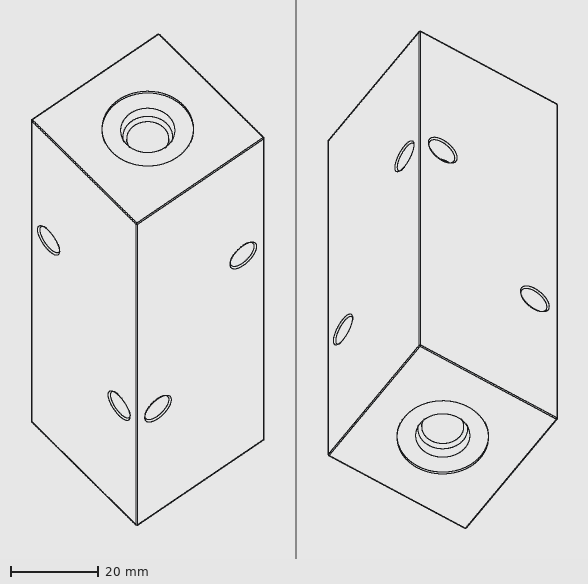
import cadquery as cq
import math

width = 38.1
height = 120.65
edge_chamfer = 0.25

bore_diameter = 9.65
spotface_diameter = 21.0
spotface_depth = 0.7
seal_mouth_diameter = 12.45
seal_cone_depth = 2.5
seal_cone_half_angle = 12.0

cross_hole_diameter = 7.14
cross_hole_chamfer = 0.4
edge_distance = 6.35
cross_hole_offset = width / 2 - edge_distance
cross_hole_height = 19.05


def revolve_about_z(profile):
    """Full revolution of a (radius, z) outline about the Z axis."""
    return cq.Workplane("XZ").polyline(profile).close().revolve(360, (0, 0, 0), (0, 1, 0))


def port_cutter():
    """Port and its half of the bore, as a solid of revolution at the +Z end."""
    top = height / 2
    spotface_floor = top - spotface_depth
    seal_floor = spotface_floor - seal_cone_depth
    mouth_radius = seal_mouth_diameter / 2
    seal_floor_radius = mouth_radius - seal_cone_depth * math.tan(math.radians(seal_cone_half_angle))
    bore_radius = bore_diameter / 2
    bore_start = seal_floor - (seal_floor_radius - bore_radius)
    profile = [
        (0, 0),
        (bore_radius, 0),
        (bore_radius, bore_start),
        (seal_floor_radius, seal_floor),
        (mouth_radius, spotface_floor),
        (spotface_diameter / 2, spotface_floor),
        (spotface_diameter / 2, top),
        (0, top),
    ]
    return revolve_about_z(profile)


def cross_hole_cutter():
    """Through hole along Z over the block width, chamfered at both mouths."""
    half_length = width / 2
    radius = cross_hole_diameter / 2
    mouth_radius = radius + cross_hole_chamfer
    chamfer_start = half_length - cross_hole_chamfer
    profile = [
        (0, -half_length),
        (mouth_radius, -half_length),
        (radius, -chamfer_start),
        (radius, chamfer_start),
        (mouth_radius, half_length),
        (0, half_length),
    ]
    return revolve_about_z(profile)


block = cq.Workplane("XY").box(width, width, height).edges().chamfer(edge_chamfer)

port = port_cutter()
block = block.cut(port).cut(port.mirror("XY"))

origin = (0, 0, 0)
hole_along_y = cross_hole_cutter().rotate(origin, (1, 0, 0), 90)
hole_along_x = cross_hole_cutter().rotate(origin, (0, 1, 0), 90)
for side in (1, -1):
    offset = side * cross_hole_offset
    level = side * cross_hole_height
    block = block.cut(hole_along_y.translate((-offset, 0, level)))
    block = block.cut(hole_along_x.translate((0, offset, level)))

result = block